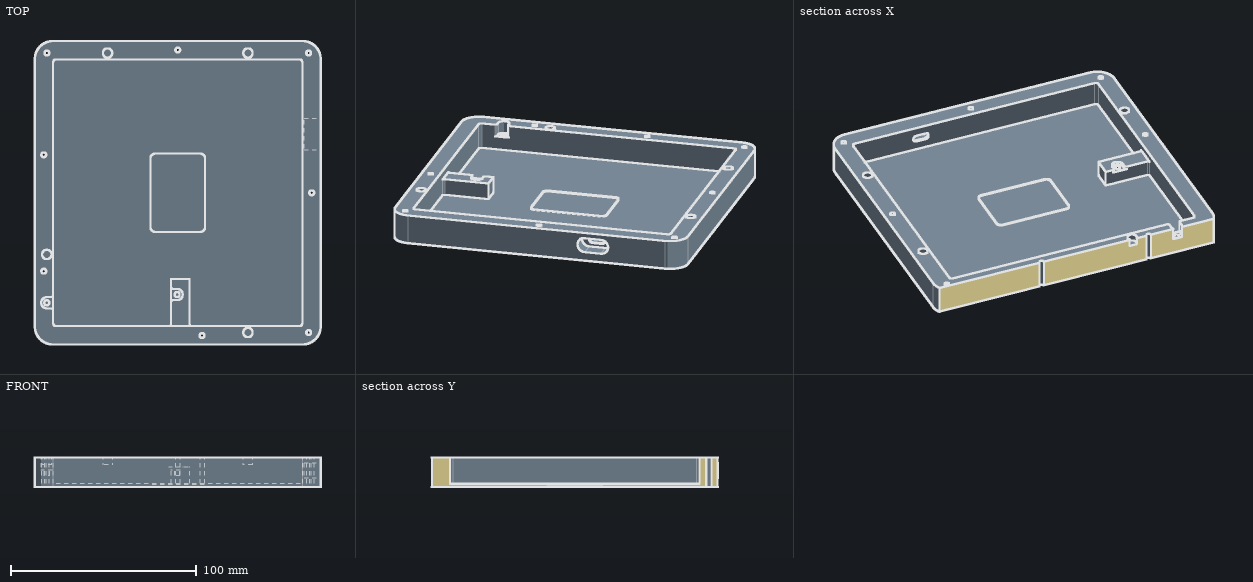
import cadquery as cq

length_x = 154.3
length_y = 163.8
height = 16.0
corner_radius = 10.0
wall = 10.0
floor_thickness = 2.0
cavity_corner_radius = 1.5

pocket_x = 29.5
pocket_y = 42.3
pocket_depth = 0.5
pocket_corner_radius = 2.6

screw_diameter = 2.5
corner_hole_inset = 6.5
edge_hole_inset = 4.9
front_hole_x = 13.1
left_hole_ys = (20.5, -42.3)

socket_diameter = 5.0
socket_depth = 4.0
socket_inset = 6.5
socket_x_offset = 37.8
left_socket_y = -33.3

rib_width = 10.0
rib_length = 25.4
rib_left_x = -3.6
rib_top_z = 11.0
rib_root_radius = 1.0

seat_width = 6.0
seat_floor_z = 9.3
seat_mouth_radius = 1.0
pin_diameter = 2.8
pin_depth = 3.0
rib_seat_x = -0.3
rib_seat_y = -54.9
wall_seat_inset = socket_inset
wall_seat_y = -59.3

port_width = 9.0
port_height = 3.8
plug_width = 17.0
plug_height = 8.0
port_web = 1.0
port_y = 31.5
port_z = 9.0

edge_reach = 0.2

half_x = length_x / 2
half_y = length_y / 2
wall_seat_x = -half_x + wall_seat_inset
cavity_x = length_x - 2 * wall
cavity_y = length_y - 2 * wall


def rounded_block(size_x, size_y, size_z, radius, bottom_z):
    """Upright block centred on the Z axis, with rounded vertical edges."""
    block = cq.Workplane("XY").workplane(offset=bottom_z).rect(size_x, size_y).extrude(size_z)
    return block.edges("|Z").fillet(radius)


def drill(points, diameter, top_z, depth):
    """Cylinders reaching down from top_z at the given points."""
    plane = cq.Workplane("XY").workplane(offset=top_z)
    return plane.pushPoints(points).circle(diameter / 2).extrude(-depth)


def make_tray():
    """Open tray with a shallow pocket sunk into its floor."""
    tray = rounded_block(length_x, length_y, height, corner_radius, 0)
    cavity = rounded_block(cavity_x, cavity_y, height, cavity_corner_radius, floor_thickness)
    pocket = rounded_block(
        pocket_x, pocket_y, height, pocket_corner_radius, floor_thickness - pocket_depth
    )
    return tray.cut(cavity).cut(pocket)


def make_rib():
    """Straight rib that overlaps the -Y wall and the floor so that they join."""
    overlap = wall / 2
    rib = cq.Workplane("XY").box(rib_width, rib_length + overlap, rib_top_z, centered=False)
    return rib.translate((rib_left_x, -cavity_y / 2 - overlap, 0))


def make_pin_seat(x, y, top_z, open_direction, reach):
    """Recess that runs from (x, y) along X for the given reach, plus its pin hole."""
    seat_depth = top_z - seat_floor_z
    recess = drill([(x, y)], seat_width, top_z, seat_depth)
    channel = (
        cq.Workplane("XY")
        .box(reach, seat_width, seat_depth, centered=(True, True, False))
        .translate((x + open_direction * reach / 2, y, seat_floor_z))
    )
    pin_hole = drill([(x, y)], pin_diameter, seat_floor_z, pin_depth)
    return recess.union(channel).union(pin_hole)


def make_port():
    """Two slots running outwards along X: the port, and the plug slot behind its web."""
    inner_face = cq.Workplane("YZ").workplane(offset=cavity_x / 2).center(port_y, port_z)
    port_slot = inner_face.slot2D(port_width, port_height).extrude(wall)
    plug_face = inner_face.workplane(offset=port_web)
    plug_slot = plug_face.slot2D(plug_width, plug_height).extrude(wall - port_web)
    return port_slot.union(plug_slot)


def round_upright_edges(body, points, radius):
    """Fillet the vertical edge that stands at each of the given points."""
    for x, y in points:
        edge_finder = cq.selectors.BoxSelector(
            (x - edge_reach, y - edge_reach, 0), (x + edge_reach, y + edge_reach, height)
        )
        body = body.edges("|Z").edges(edge_finder).fillet(radius)
    return body


tray = make_tray().union(make_rib())
tray = tray.cut(make_pin_seat(rib_seat_x, rib_seat_y, rib_top_z, -1, rib_seat_x - rib_left_x))
tray = tray.cut(make_pin_seat(wall_seat_x, wall_seat_y, height, 1, wall - wall_seat_inset))

rib_roots = [(rib_left_x, -cavity_y / 2), (rib_left_x + rib_width, -cavity_y / 2)]
seat_mouths = [
    (-cavity_x / 2, wall_seat_y - seat_width / 2),
    (-cavity_x / 2, wall_seat_y + seat_width / 2),
    (rib_left_x, rib_seat_y - seat_width / 2),
    (rib_left_x, rib_seat_y + seat_width / 2),
]
tray = round_upright_edges(tray, rib_roots, rib_root_radius)
tray = round_upright_edges(tray, seat_mouths, seat_mouth_radius)

corner_x = half_x - corner_hole_inset
corner_y = half_y - corner_hole_inset
edge_x = half_x - edge_hole_inset
edge_y = half_y - edge_hole_inset
screw_points = [
    (-corner_x, corner_y),
    (corner_x, corner_y),
    (corner_x, -corner_y),
    (0, edge_y),
    (front_hole_x, -edge_y),
    (edge_x, 0),
]
screw_points += [(-edge_x, y) for y in left_hole_ys]
socket_x = half_x - socket_inset
socket_y = half_y - socket_inset
socket_points = [
    (-socket_x_offset, socket_y),
    (socket_x_offset, socket_y),
    (socket_x_offset, -socket_y),
    (-socket_x, left_socket_y),
]
tray = tray.cut(drill(screw_points, screw_diameter, height, height))
tray = tray.cut(drill(socket_points, socket_diameter, height, socket_depth))

result = tray.cut(make_port())